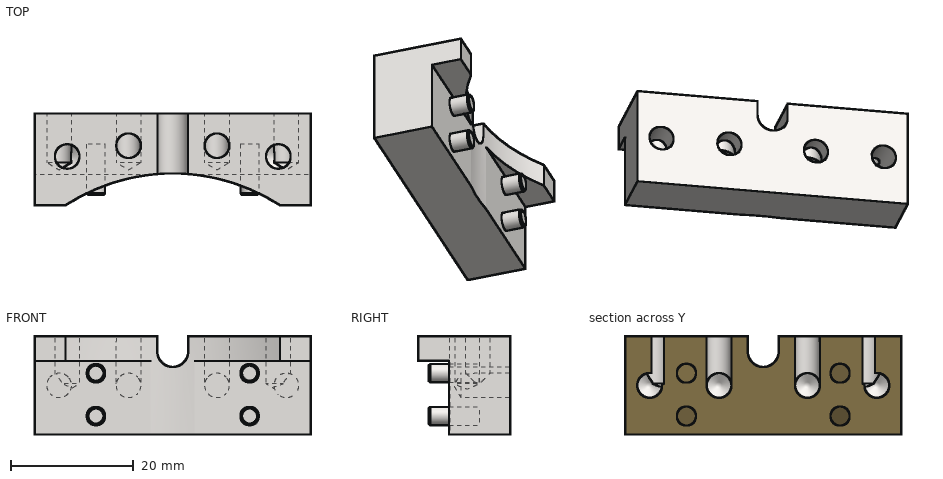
import cadquery as cq
import math

LENGTH = 45.0
HEIGHT = 16.0
FLANGE_DEPTH = 15.0
BODY_DEPTH = 10.0
FLANGE_THICKNESS = 4.0

RELIEF_RADIUS = 32.0
RELIEF_BITE = 0.202

GROOVE_WIDTH = 5.0
GROOVE_DEPTH = 5.0

DRILL_DIAMETER = 4.0
DRILL_TIP_ANGLE = 118.0
TOP_HOLE_DEPTH = 7.75
BACK_HOLE_DEPTH = 8.0
BACK_HOLE_Z = HEIGHT / 2
INNER_HOLE_X = 7.2
INNER_HOLE_FROM_BACK = 5.25
OUTER_HOLE_X = 17.2
OUTER_HOLE_FROM_BACK = 7.0
OUTER_BACK_HOLE_X = 18.5

PIN_DIAMETER = 3.0
PIN_PROTRUSION = 3.3
PIN_INSERTION = 5.0
PIN_CHAMFER = 0.25
PIN_X = 12.5
PIN_DEPTHS_FROM_TOP = (6.05, 13.0)

SIDES = (-1, 1)
PIN_POSITIONS = [(side * PIN_X, HEIGHT - depth) for side in SIDES for depth in PIN_DEPTHS_FROM_TOP]


def make_blank():
    """L-shaped profile, body plus top flange, extruded along X."""
    flange_underside = HEIGHT - FLANGE_THICKNESS
    return (
        cq.Workplane("YZ")
        .polyline([
            (0, 0),
            (0, HEIGHT),
            (-FLANGE_DEPTH, HEIGHT),
            (-FLANGE_DEPTH, flange_underside),
            (-BODY_DEPTH, flange_underside),
            (-BODY_DEPTH, 0),
        ])
        .close()
        .extrude(LENGTH / 2, both=True)
    )


def make_relief():
    """Vertical cylinder that hollows the front."""
    return (
        cq.Workplane("XY")
        .center(0, RELIEF_BITE - BODY_DEPTH - RELIEF_RADIUS)
        .circle(RELIEF_RADIUS)
        .extrude(HEIGHT)
    )


def make_groove():
    """Front-to-back groove with a half-round bottom."""
    radius = GROOVE_WIDTH / 2
    floor = HEIGHT - GROOVE_DEPTH
    return (
        cq.Workplane("XZ")
        .moveTo(-radius, HEIGHT)
        .lineTo(-radius, floor + radius)
        .threePointArc((0, floor), (radius, floor + radius))
        .lineTo(radius, HEIGHT)
        .close()
        .extrude(FLANGE_DEPTH)
    )


def make_drilling(depth):
    """Drilled hole with a conical tip, pointing down from the origin."""
    radius = DRILL_DIAMETER / 2
    tip_length = radius / math.tan(math.radians(DRILL_TIP_ANGLE / 2))
    return (
        cq.Workplane("XZ")
        .polyline([(0, 0), (radius, 0), (radius, -depth), (0, -depth - tip_length)])
        .close()
        .revolve(360, (0, 0), (0, 1))
    )


def make_passage(top_x, from_back, back_x):
    """Hole from the top face joined to a hole from the back face."""
    top_hole = make_drilling(TOP_HOLE_DEPTH).translate((top_x, -from_back, HEIGHT))
    back_hole = (
        make_drilling(BACK_HOLE_DEPTH)
        .rotate((0, 0, 0), (1, 0, 0), -90)
        .translate((back_x, 0, BACK_HOLE_Z))
    )
    return top_hole.union(back_hole)


def make_pin_hole(x, z):
    """Blind hole in the lower front face, a close fit on a pin."""
    return (
        cq.Workplane("XZ", origin=(x, PIN_INSERTION - BODY_DEPTH, z))
        .circle(PIN_DIAMETER / 2)
        .extrude(PIN_INSERTION)
    )


def make_block():
    block = make_blank().cut(make_relief()).cut(make_groove())
    for side in SIDES:
        inner_x = side * INNER_HOLE_X
        block = block.cut(make_passage(inner_x, INNER_HOLE_FROM_BACK, inner_x))
        block = block.cut(make_passage(side * OUTER_HOLE_X, OUTER_HOLE_FROM_BACK, side * OUTER_BACK_HOLE_X))
    for x, z in PIN_POSITIONS:
        block = block.cut(make_pin_hole(x, z))
    return block


def make_pin(x, z):
    """Dowel pin along Y with a chamfered front end."""
    return (
        cq.Workplane("XZ", origin=(x, PIN_INSERTION - BODY_DEPTH, z))
        .circle(PIN_DIAMETER / 2)
        .extrude(PIN_INSERTION + PIN_PROTRUSION)
        .faces("<Y")
        .chamfer(PIN_CHAMFER)
    )


block = make_block()
pins = [make_pin(x, z).val() for x, z in PIN_POSITIONS]

result = cq.Compound.makeCompound([block.val(), *pins])